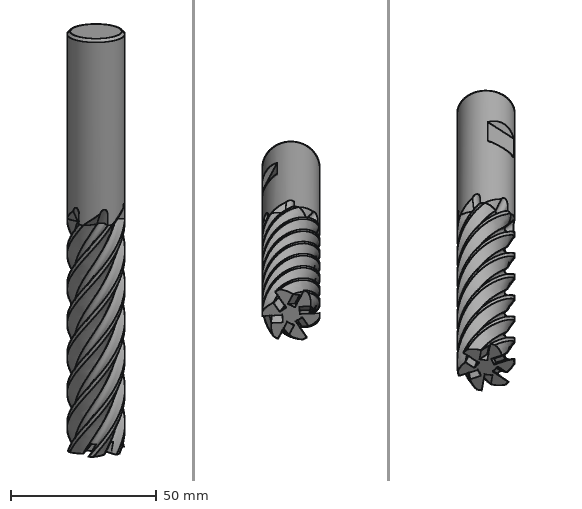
import cadquery as cq
import math

LENGTH = 150.0
DIAMETER = 20.0
RADIUS = DIAMETER / 2
CLEARANCE = 1.5

TOP_CHAMFER = 1.0
FLAT_DEPTH = 1.8
FLAT_LENGTH = 11.0
FLAT_CENTRE_Z = LENGTH - 25.0

CUT_LENGTH = 83.0
FLUTE_COUNT = 6
FLUTE_SPACING = 360 / FLUTE_COUNT
FLUTE_ANGLES = [i * FLUTE_SPACING for i in range(FLUTE_COUNT)]
HELIX_ANGLE = 40.0
LEAD = math.pi * DIAMETER / math.tan(math.radians(HELIX_ANGLE))
CUT_TWIST = 360 * CUT_LENGTH / LEAD

CORE_RADIUS = 6.3
ROOT_RADIUS = 1.5
ROOT_END_ANGLE = 235.0
LAND_ANGLE = 10.0
BACK_RADIUS = 8.7
BACK_ANGLE = -36.0

RUNOUT_HEIGHT = 6.0
RUNOUT_DEPTH = RADIUS - CORE_RADIUS
RUNOUT_OVERRUN = 1.5

GASH_HEIGHT = 3.6
GASH_LEAN = 1.8
GASH_WIDTH = 2.7
GASH_INNER_RADIUS = 3.0


def polar(radius, angle):
    """Point at a radius and an angle in degrees."""
    return (radius * math.cos(math.radians(angle)), radius * math.sin(math.radians(angle)))


def turned(point, angle):
    """Point turned about the tool axis."""
    return polar(math.hypot(*point), math.degrees(math.atan2(point[1], point[0])) + angle)


def turned_shape(shape, angle):
    """Workplane shape turned about the tool axis."""
    return shape.rotate((0, 0, 0), (0, 0, 1), angle)


ROOT_CENTRE = (CORE_RADIUS + ROOT_RADIUS, -ROOT_RADIUS)
ROOT_START = (ROOT_CENTRE[0], 0)
ROOT_BOTTOM = (CORE_RADIUS, -ROOT_RADIUS)
ROOT_END_STEP = polar(ROOT_RADIUS, ROOT_END_ANGLE)
ROOT_END = (ROOT_CENTRE[0] + ROOT_END_STEP[0], ROOT_CENTRE[1] + ROOT_END_STEP[1])
BACK_MIDDLE = polar(BACK_RADIUS, BACK_ANGLE)
HEEL = polar(RADIUS, LAND_ANGLE - FLUTE_SPACING)
LAND_MIDDLE = polar(RADIUS, LAND_ANGLE / 2 - FLUTE_SPACING)
NEXT_EDGE = polar(RADIUS, -FLUTE_SPACING)


def add_flute(sketch, angle):
    """Draw the cutting face, root and tooth back of one flute, ending at the heel."""
    return (
        sketch.lineTo(*turned(ROOT_START, angle))
        .threePointArc(turned(ROOT_BOTTOM, angle), turned(ROOT_END, angle))
        .threePointArc(turned(BACK_MIDDLE, angle), turned(HEEL, angle))
    )


def cutter_section():
    """Toothed section of the cutting body at its lower end."""
    section = cq.Workplane("XY").moveTo(RADIUS, 0)
    for angle in FLUTE_ANGLES:
        section = add_flute(section, -angle)
        section = section.threePointArc(turned(LAND_MIDDLE, -angle), turned(NEXT_EDGE, -angle))
    return section.close()


def end_gash():
    """Wedge cut into the end face in front of the tooth along +X."""
    return (
        cq.Workplane("YZ", origin=(GASH_INNER_RADIUS, 0, 0))
        .moveTo(0, 0)
        .lineTo(GASH_LEAN, GASH_HEIGHT)
        .lineTo(0, GASH_HEIGHT)
        .lineTo(-GASH_WIDTH, 0)
        .close()
        .extrude(RADIUS + CLEARANCE - GASH_INNER_RADIUS)
    )


def make_cutter():
    """Helically fluted cutting body with gashed end."""
    cutter = cutter_section().twistExtrude(CUT_LENGTH, CUT_TWIST)
    gash = end_gash()
    for angle in FLUTE_ANGLES:
        cutter = cutter.cut(turned_shape(gash, angle))
    return cutter


def clamping_flat():
    """Material removed for the flat on the +Y side."""
    half_length = FLAT_LENGTH / 2
    floor_y = RADIUS - FLAT_DEPTH
    return (
        cq.Workplane("YZ")
        .moveTo(floor_y, FLAT_CENTRE_Z - half_length)
        .lineTo(floor_y, FLAT_CENTRE_Z + half_length)
        .lineTo(RADIUS, FLAT_CENTRE_Z + half_length + FLAT_DEPTH)
        .lineTo(RADIUS, FLAT_CENTRE_Z - half_length - FLAT_DEPTH)
        .close()
        .extrude(RADIUS, both=True)
    )


def flute_runout():
    """Flute section carried upward and outward along its cutting face."""
    outer = RADIUS + CLEARANCE
    outline = add_flute(cq.Workplane("XY", origin=(0, 0, CUT_LENGTH)).moveTo(outer, 0), 0)
    outline = outline.lineTo(outer, HEEL[1]).close()
    rise = cq.Vector(RUNOUT_DEPTH, 0, RUNOUT_HEIGHT) * RUNOUT_OVERRUN
    face = cq.Face.makeFromWires(outline.val())
    return cq.Workplane(cq.Solid.extrudeLinear(face, rise))


def make_shank():
    """Plain shank with chamfered top, clamping flat and flute run-outs."""
    shank = (
        cq.Workplane("XY", origin=(0, 0, CUT_LENGTH))
        .circle(RADIUS)
        .extrude(LENGTH - CUT_LENGTH)
        .faces(">Z")
        .chamfer(TOP_CHAMFER)
        .cut(clamping_flat())
    )
    runout = flute_runout()
    for angle in FLUTE_ANGLES:
        shank = shank.cut(turned_shape(runout, CUT_TWIST + angle))
    return shank


shank = make_shank()
cutter = make_cutter()
result = cq.Compound.makeCompound([shank.solids().val(), cutter.solids().val()])